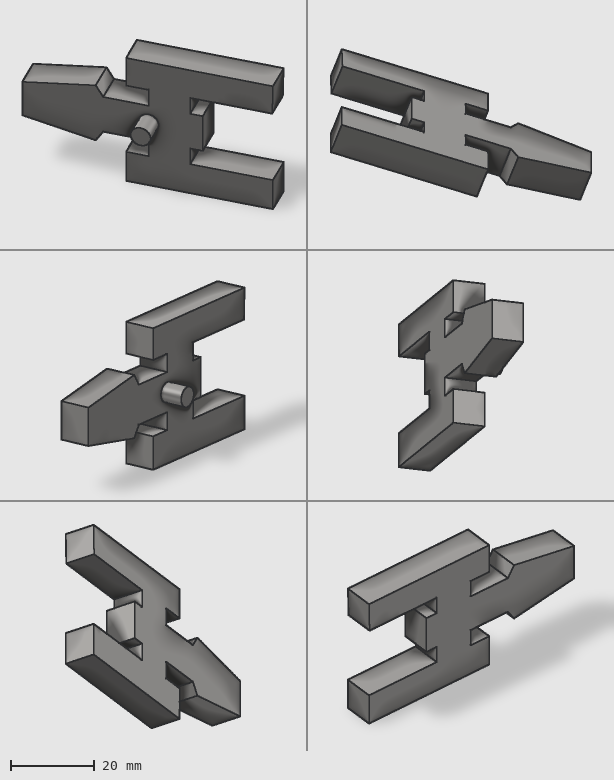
import cadquery as cq

length = 63.2
height = 35.75
thickness = 8.0

head_back_x = 18.5
neck_start_x = 20.4
arm_start_x = 26.15
web_start_x = 31.85
web_end_x = 42.35
tail_x = 45.5
upper_arm_inner_end_x = 63.0

lower_arm_top_z = 8.45
head_bottom_z = 10.1
body_bottom_z = 13.0
nose_bottom_z = 13.3
nose_top_z = 23.0
body_top_z = 23.1
head_top_z = 26.1
upper_arm_bottom_z = 27.75

pin_diameter = 5.05
pin_length = 6.0
pin_x = web_start_x
pin_z = (body_bottom_z + body_top_z) / 2


def make_plate():
    """Flat body: tapered head, neck, crossing web and two long arms."""
    lower_edge = [
        (0, nose_bottom_z),
        (head_back_x, head_bottom_z),
        (neck_start_x, body_bottom_z),
        (web_start_x, body_bottom_z),
        (web_start_x, lower_arm_top_z),
        (arm_start_x, lower_arm_top_z),
        (arm_start_x, 0),
        (length, 0),
        (length, lower_arm_top_z),
        (web_end_x, lower_arm_top_z),
        (web_end_x, body_bottom_z),
        (tail_x, body_bottom_z),
    ]
    upper_edge = [
        (tail_x, body_top_z),
        (web_end_x, body_top_z),
        (web_end_x, upper_arm_bottom_z),
        (upper_arm_inner_end_x, upper_arm_bottom_z),
        (length, height),
        (arm_start_x, height),
        (arm_start_x, upper_arm_bottom_z),
        (web_start_x, upper_arm_bottom_z),
        (web_start_x, body_top_z),
        (neck_start_x, body_top_z),
        (head_back_x, head_top_z),
        (0, nose_top_z),
    ]
    outline = cq.Workplane("XZ").polyline(lower_edge + upper_edge).close()
    return outline.extrude(-thickness)


def make_pin():
    """Round pin running from the front face toward -Y."""
    return cq.Workplane("XZ").center(pin_x, pin_z).circle(pin_diameter / 2).extrude(pin_length)


result = make_plate().union(make_pin())